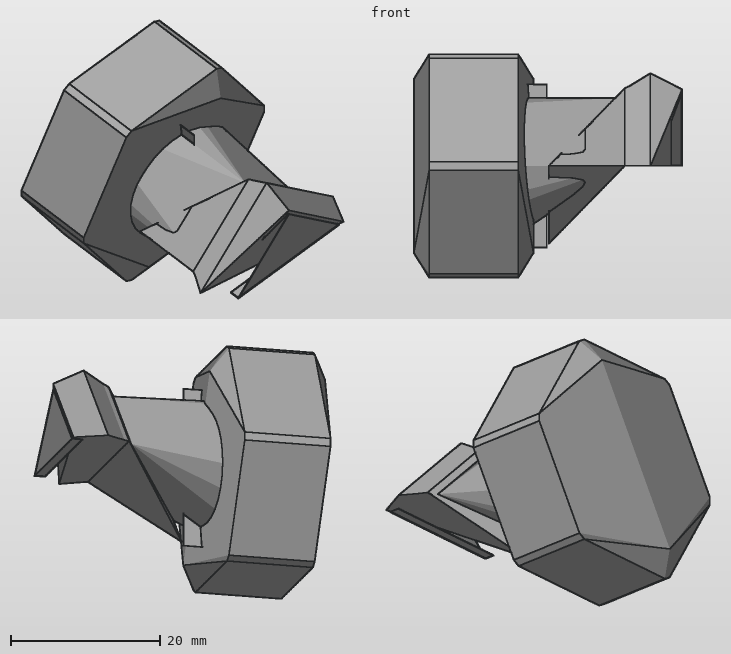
import cadquery as cq
import math


HEX_FLATS = 30.0
HEX_CORNERS = 34.0
NUT_START = 2.05
NUT_END = 14.0
ROOF_HEIGHT = 2.05
RIDGE_RADIUS = 13.5
RIDGE_ANGLE = 60

NECK_RADIUS = 9.15
NECK_END = 27.65
NECK_SEGMENTS = 32

SKIRT_START = 18.1
SKIRT_END = 28.3
SKIRT_RADIUS = 10.45
FLARE_START = 29.05
FLARE_RADIUS = 10.8
PEAK_X = 31.75
PEAK_RADIUS = 12.45
HEAD_END = 36.0
END_RADIUS = 10.3

CAP_START = 34.52
CAP_RADIUS = 9.5

COLLAR_START = 15.12
COLLAR_END = 17.85
COLLAR_RADIUS = 10.95

SHEET = 0.07


def polyhedron(faces):
    """Solid bounded by flat faces, each given as a list of corner points."""
    sides = []
    for corners in faces:
        outline = cq.Wire.makePolygon([cq.Vector(*point) for point in corners], close=True)
        sides.append(cq.Face.makeFromWires(outline))
    return cq.Workplane(cq.Solid.makeSolid(cq.Shell.makeShell(sides)).fix())


def half_ring(x, radius):
    """Three corners of a half diamond: -Y, +Z and +Y."""
    return [(x, -radius, 0), (x, 0, radius), (x, radius, 0)]


def prism_between(start, end):
    """Solid joining two triangles with matching corners."""
    sides = [[start[i], start[i - 1], end[i - 1], end[i]] for i in range(3)]
    return polyhedron([start, end] + sides)


def polar(x, radius, degrees):
    angle = math.radians(degrees)
    return (x, radius * math.cos(angle), radius * math.sin(angle))


def nut_rim(x):
    """Hexagon with a small flat at every corner: two points per corner."""
    corner_radius = HEX_FLATS / 2 / math.cos(math.radians(30))
    flat_distance = HEX_CORNERS / 2
    half_flat = (corner_radius - flat_distance) * math.tan(math.radians(60))
    radius = math.hypot(flat_distance, half_flat)
    spread = math.degrees(math.atan2(half_flat, flat_distance))
    return [polar(x, radius, 60 * i + side * spread) for i in range(6) for side in (-1, 1)]


def hipped_end(rim, ridge_x):
    """Roof faces running from a nut rim up to a diagonal ridge."""
    near = polar(ridge_x, RIDGE_RADIUS, RIDGE_ANGLE)
    far = polar(ridge_x, RIDGE_RADIUS, RIDGE_ANGLE + 180)
    faces = [[rim[i], rim[i + 1], near] for i in range(5)]
    faces += [[rim[i], rim[i + 1], far] for i in range(6, 11)]
    faces.append([rim[5], rim[6], far, near])
    faces.append([rim[11], rim[0], near, far])
    return faces


def make_nut():
    start = nut_rim(NUT_START)
    end = nut_rim(NUT_END)
    sides = [[start[i - 1], start[i], end[i], end[i - 1]] for i in range(len(start))]
    start_roof = hipped_end(start, NUT_START - ROOF_HEIGHT)
    end_roof = hipped_end(end, NUT_END + ROOF_HEIGHT)
    return polyhedron(sides + start_roof + end_roof)


def make_neck():
    """Round base tapering to a half diamond, with a fan of facets at each end corner."""
    minus_y, plus_z, plus_y = half_ring(NECK_END, NECK_RADIUS)
    step = 360 / NECK_SEGMENTS
    base = [polar(NUT_END, NECK_RADIUS, -90 + i * step) for i in range(NECK_SEGMENTS)]
    first_change = NECK_SEGMENTS * 3 // 8
    second_change = NECK_SEGMENTS * 5 // 8
    faces = [base, [minus_y, plus_z, plus_y]]
    for i in range(NECK_SEGMENTS):
        if i < first_change:
            apex = plus_y
        elif i < second_change:
            apex = plus_z
        else:
            apex = minus_y
        faces.append([base[i], base[(i + 1) % NECK_SEGMENTS], apex])
    faces.append([base[first_change], plus_y, plus_z])
    faces.append([base[second_change], plus_z, minus_y])
    faces.append([base[0], minus_y, plus_y])
    return polyhedron(faces)


def head_skirt():
    """Slanted pyramid reaching back from the head beside and below the neck."""
    minus_y, plus_z, plus_y = half_ring(SKIRT_END, SKIRT_RADIUS)
    back_side = (SKIRT_START, -SKIRT_RADIUS, 0)
    back_low = (SKIRT_START, 0, -SKIRT_RADIUS)
    return polyhedron([
        [back_side, plus_z, plus_y, back_low],
        [back_side, minus_y, plus_z],
        [back_side, back_low, minus_y],
        [minus_y, plus_y, plus_z],
        [back_low, plus_y, minus_y],
    ])


def head_end():
    """Wedge from the peak to the end, cut away towards -Y."""
    peak = half_ring(PEAK_X, PEAK_RADIUS)
    peak_minus_y, peak_plus_z, peak_plus_y = peak
    end_plus_z, end_plus_y = half_ring(HEAD_END, END_RADIUS)[1:]
    return polyhedron([
        peak,
        [peak_minus_y, peak_plus_z, end_plus_z],
        [peak_plus_z, peak_plus_y, end_plus_y, end_plus_z],
        [peak_minus_y, peak_plus_y, end_plus_y],
        [peak_minus_y, end_plus_z, end_plus_y],
    ])


def cap_recess():
    return prism_between(half_ring(CAP_START, CAP_RADIUS), half_ring(HEAD_END, CAP_RADIUS))


def make_head():
    skirt_ring = half_ring(SKIRT_END, SKIRT_RADIUS)
    flare_ring = half_ring(FLARE_START, FLARE_RADIUS)
    peak_ring = half_ring(PEAK_X, PEAK_RADIUS)
    head = head_skirt().union(prism_between(skirt_ring, flare_ring))
    head = head.union(prism_between(flare_ring, peak_ring)).union(head_end())
    return head.cut(cap_recess())


def make_cap():
    """End wall and floor, as thin sheets inside the recess outline."""
    wall = prism_between(half_ring(HEAD_END - SHEET, CAP_RADIUS), half_ring(HEAD_END, CAP_RADIUS))
    floor = cq.Workplane().box(
        HEAD_END - CAP_START, 2 * CAP_RADIUS, SHEET, centered=(False, True, False)
    ).translate((CAP_START, 0, 0))
    return wall.union(floor.intersect(cap_recess()))


def make_collar():
    length = COLLAR_END - COLLAR_START
    blade = cq.Workplane().box(length, SHEET, 2 * COLLAR_RADIUS, centered=(False, True, True))
    return blade.translate((COLLAR_START, 0, 0))


collar = make_collar()
head = make_head()
cap = make_cap()
neck = make_neck().cut(head).cut(collar)
nut = make_nut().cut(make_neck()).cut(collar)

result = cq.Compound.makeCompound([nut.val(), neck.val(), collar.val(), head.val(), cap.val()])